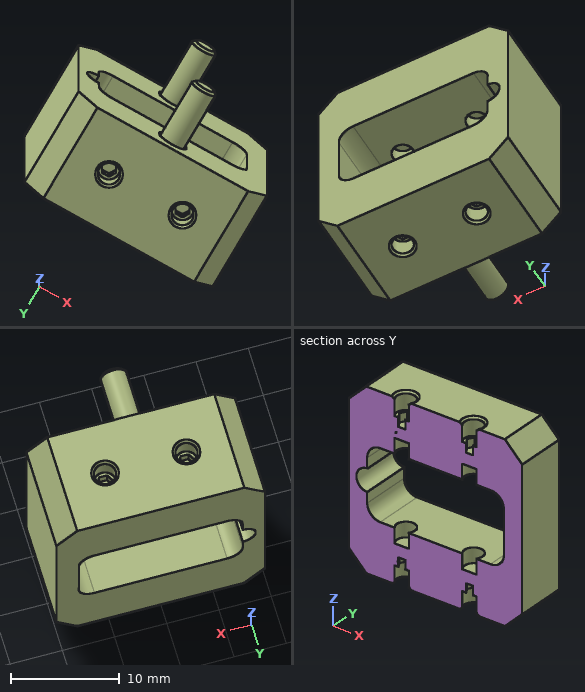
import cadquery as cq
import math

width = 20.0
height = 20.0
depth = 10.0
corner_chamfer = 2.0

window_width = 15.7
window_height = 7.85
window_corner_radius = 1.5
notch_radius = 1.25

pin_diameter = 2.5
pin_length = 6.0
pin_tip_chamfer = 0.28
pin_spacing = 14.0
pin_countersink_diameter = 2.9

screw_hole_diameter = 2.05
screw_countersink_diameter = 2.55
screw_spacing = 7.8
screw_recess = 2.0
screw_length = 2.4
socket_across_flats = 1.3
socket_depth = 1.0

wall_height = (height - window_height) / 2


def cone_tool(large_diameter, small_diameter):
    """45 degree countersink cutter, wide end on Z = 0 and narrowing downwards."""
    cone_depth = (large_diameter - small_diameter) / 2
    return (
        cq.Workplane("XY")
        .circle(large_diameter / 2)
        .extrude(-cone_depth, taper=45)
    )


def make_block():
    block = cq.Workplane("XY").box(width, depth, height).translate((0, depth / 2, 0))
    return block.edges("|Y").chamfer(corner_chamfer)


def make_window():
    window = cq.Workplane("XY").box(window_width, depth, window_height)
    window = window.edges("|Y").fillet(window_corner_radius)
    notch = (
        cq.Workplane("XZ")
        .center(-window_width / 2, 0)
        .circle(notch_radius)
        .extrude(depth / 2, both=True)
    )
    return window.union(notch).translate((0, depth / 2, 0))


def make_pin():
    """Exposed part of a pin, pointing to -Y, with its axis on Z = 0.

    The shank also runs into the block to fill the bottom of its countersink.
    """
    seat_depth = (pin_countersink_diameter - pin_diameter) / 2
    return (
        cq.Workplane("XZ")
        .workplane(offset=-seat_depth)
        .circle(pin_diameter / 2)
        .extrude(pin_length + seat_depth)
        .faces("<Y")
        .chamfer(pin_tip_chamfer)
    )


def make_screw_hole():
    """Countersunk hole going down from Z = 0 through the wall above the window."""
    hole = cq.Workplane("XY").circle(screw_hole_diameter / 2).extrude(-wall_height)
    return hole.union(cone_tool(screw_countersink_diameter, screw_hole_diameter))


def make_set_screw():
    """Set screw filling the middle of the screw hole, with a hexagon socket on top."""
    socket_across_corners = socket_across_flats / math.cos(math.pi / 6)
    return (
        cq.Workplane("XY")
        .workplane(offset=-screw_recess)
        .circle(screw_hole_diameter / 2)
        .extrude(-screw_length)
        .faces(">Z")
        .workplane()
        .polygon(6, socket_across_corners)
        .cutBlind(-socket_depth)
    )


def place_screw_shape(shape, screw_x, turn):
    """Move a screw shape onto the top face, then turn it about the block's Y axis."""
    on_top_face = shape.translate((screw_x, depth / 2, height / 2))
    return on_top_face.rotate((0, 0, 0), (0, 1, 0), turn)


result = make_block().cut(make_window())

pin_countersink = cone_tool(pin_countersink_diameter, pin_diameter).rotate((0, 0, 0), (1, 0, 0), 90)
for pin_z in (-pin_spacing / 2, pin_spacing / 2):
    result = result.cut(pin_countersink.translate((0, 0, pin_z)))
    result = result.union(make_pin().translate((0, 0, pin_z)))

for turn in (0, 180):
    for screw_x in (-screw_spacing / 2, screw_spacing / 2):
        result = result.cut(place_screw_shape(make_screw_hole(), screw_x, turn))
        result = result.union(place_screw_shape(make_set_screw(), screw_x, turn))